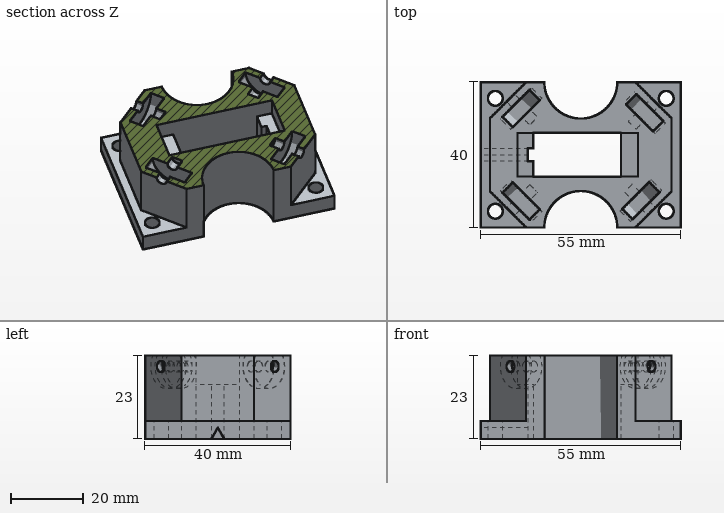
import cadquery as cq
import math

BASE_LENGTH = 55.0
WIDTH = 40.0
HEIGHT = 23.0
BASE_HEIGHT = 5.0
BODY_LENGTH = 50.0
BODY_CORNER_CUT = 10.0
SIDE_SCALLOP_RADIUS = 10.0

MOUNT_HOLE_DIAMETER = 4.0
MOUNT_HOLE_X = 23.5
MOUNT_HOLE_Y = 15.5

POCKET_LEFT = -17.3
POCKET_RIGHT = 15.7
POCKET_WIDTH = 12.0
POCKET_DEPTH = 8.0
OPENING_LEFT = -13.05
OPENING_RIGHT = 11.0
NOTCH_DEPTH = 1.5
CABLE_WIDTH = 3.5
CABLE_GROOVE_HEIGHT = 3.2

DISC_RADIUS = 6.05
SLOT_WIDTH = 4.0
SLOT_WALL = 2.15
SCREW_HOLE_DIAMETER = 3.0
SCREW_HOLE_DEPTH = 9.0
DISC_AXIS_BELOW_TOP = 3.0
DISC_CORNERS = [
    (-1, -1, 0.95),
    (1, -1, 0.75),
    (-1, 1, 0.95),
    (1, 1, -0.7),
]


def block(left, right, width, bottom, top):
    """Box centred on Y, between the given X and Z limits."""
    return cq.Workplane("XY").box(
        right - left, width, top - bottom, centered=(False, True, False)
    ).translate((left, 0, bottom))


def outer_shape():
    base = block(-BASE_LENGTH / 2, BASE_LENGTH / 2, WIDTH, 0, BASE_HEIGHT)
    body = block(-BODY_LENGTH / 2, BODY_LENGTH / 2, WIDTH, 0, HEIGHT)
    body = body.edges("|Z").chamfer(BODY_CORNER_CUT)
    scallops = (
        cq.Workplane("XY")
        .pushPoints([(0, -WIDTH / 2), (0, WIDTH / 2)])
        .circle(SIDE_SCALLOP_RADIUS)
        .extrude(HEIGHT)
    )
    return base.union(body).cut(scallops)


def mount_holes():
    return (
        cq.Workplane("XY")
        .rect(2 * MOUNT_HOLE_X, 2 * MOUNT_HOLE_Y, forConstruction=True)
        .vertices()
        .circle(MOUNT_HOLE_DIAMETER / 2)
        .extrude(BASE_HEIGHT)
    )


def central_pocket():
    ledge = HEIGHT - POCKET_DEPTH
    pocket = block(POCKET_LEFT, POCKET_RIGHT, POCKET_WIDTH, ledge, HEIGHT)
    opening = block(OPENING_LEFT, OPENING_RIGHT, POCKET_WIDTH, 0, HEIGHT)
    notch = block(OPENING_LEFT - NOTCH_DEPTH, OPENING_LEFT, CABLE_WIDTH, 0, ledge)
    return pocket.union(opening).union(notch)


def cable_groove():
    """V groove under the base, from the -X side to the central opening."""
    return (
        cq.Workplane("YZ", origin=(-BASE_LENGTH / 2, 0, 0))
        .moveTo(-CABLE_WIDTH / 2, 0)
        .lineTo(CABLE_WIDTH / 2, 0)
        .lineTo(0, CABLE_GROOVE_HEIGHT)
        .close()
        .extrude(BASE_LENGTH / 2 + OPENING_LEFT)
    )


def disc_slot(side_x, side_y, shift):
    """Disc slot open at the top, with its screw hole from the corner face."""
    diagonal = math.sqrt(0.5)
    face_x = BODY_LENGTH / 2 - BODY_CORNER_CUT / 2 - shift * diagonal
    face_y = WIDTH / 2 - BODY_CORNER_CUT / 2 + shift * diagonal
    axis_plane = cq.Plane(
        origin=(side_x * face_x, side_y * face_y, HEIGHT - DISC_AXIS_BELOW_TOP),
        xDir=(side_y, -side_x, 0),
        normal=(-side_x, -side_y, 0),
    )
    screw_hole = cq.Workplane(axis_plane).circle(SCREW_HOLE_DIAMETER / 2).extrude(SCREW_HOLE_DEPTH)
    disc = cq.Workplane(axis_plane).workplane(offset=SLOT_WALL).circle(DISC_RADIUS).extrude(SLOT_WIDTH)
    return disc.union(screw_hole)


result = outer_shape().cut(mount_holes()).cut(central_pocket()).cut(cable_groove())
for side_x, side_y, shift in DISC_CORNERS:
    result = result.cut(disc_slot(side_x, side_y, shift))